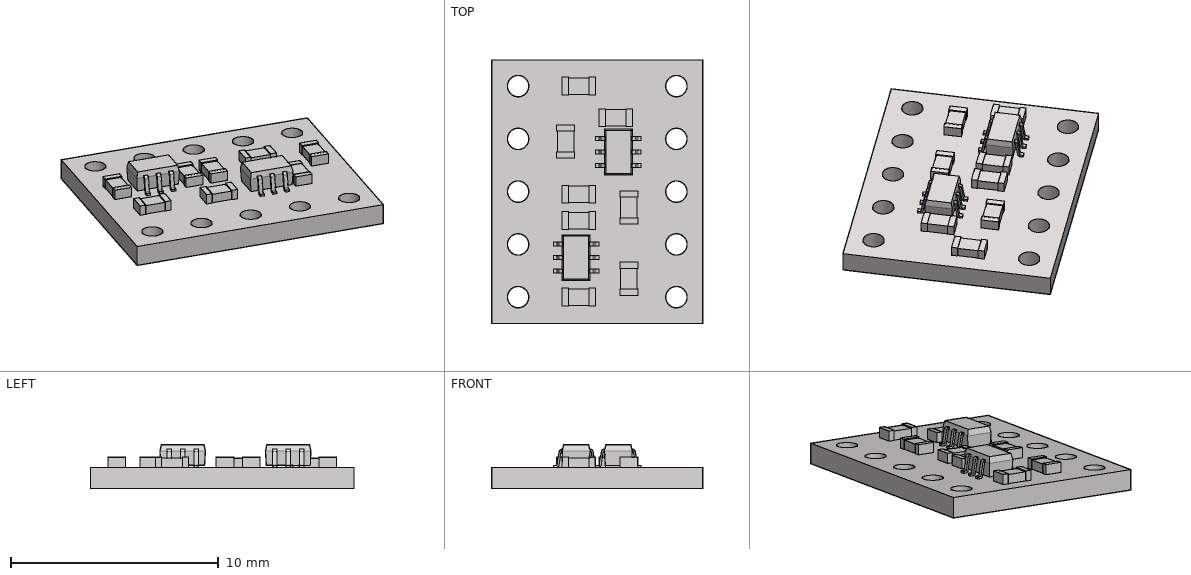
import cadquery as cq
import math

PITCH = 2.54
BOARD_X = 4 * PITCH
BOARD_Y = 5 * PITCH
BOARD_Z = 1.02
HOLE_DIAMETER = 1.016
HOLE_COLUMNS = 2
HOLE_ROWS = 5
HOLE_COLUMN_SPACING = 3 * PITCH

GRID = PITCH / 20

CHIP_LENGTH = 1.6
CHIP_WIDTH = 0.8
CAP_LENGTH = 0.3
CAP_HEIGHT = 0.5
RESISTOR_TOP_STEP = 0.05
RESISTOR_SIDE_STEP = 0.03
CAPACITOR_STEP = 0.015
RESISTORS_ALONG_X = [(-7, 40), (-7, -1), (-7, -11), (-7, -40)]
RESISTORS_ALONG_Y = [(-12, 19), (12, -6), (12, -33)]
CAPACITOR_POSITION = (7, 28)

PACKAGE_X = 1.35
PACKAGE_Y = 2.2
PACKAGE_TOP = 1.1
PACKAGE_STANDOFF = 0.1
PARTING_HEIGHT = 0.79
TOP_INSET = 0.07
BOTTOM_INSET = 0.04
PACKAGE_POSITIONS = [(8, 15), (-8, -25)]

LEADS_PER_SIDE = 3
LEAD_PITCH = 0.65
LEAD_WIDTH = 0.2
LEAD_THICKNESS = 0.1
LEAD_TOP = 0.88
LEAD_ROOT_X = PACKAGE_X / 4
SHOULDER_X = 0.8
ANKLE_X = 0.93
TOE_X = 1.1
OUTER_BEND = 0.13
INNER_BEND = OUTER_BEND - LEAD_THICKNESS


def block(length, width, height):
    """Block centred in X and Y, standing on Z = 0."""
    return cq.Workplane("XY").box(length, width, height, centered=(True, True, False))


def make_board():
    return (
        block(BOARD_X, BOARD_Y, BOARD_Z)
        .faces(">Z")
        .workplane()
        .rarray(HOLE_COLUMN_SPACING, PITCH, HOLE_COLUMNS, HOLE_ROWS)
        .hole(HOLE_DIAMETER)
    )


def make_chip(top_step, side_step):
    """Two-terminal chip lying along X, with end caps proud of its body."""
    chip = block(CHIP_LENGTH - 2 * CAP_LENGTH, CHIP_WIDTH, CAP_HEIGHT - top_step)
    cap = block(CAP_LENGTH, CHIP_WIDTH + 2 * side_step, CAP_HEIGHT)
    cap_center = (CHIP_LENGTH - CAP_LENGTH) / 2
    for side in (-1, 1):
        chip = chip.union(cap.translate((side * cap_center, 0, 0)))
    return chip


def tapered_half(end_height, inset):
    """Half of the moulded body, from the parting line to its inset end face."""
    return (
        cq.Workplane("XY")
        .workplane(offset=PARTING_HEIGHT)
        .rect(PACKAGE_X, PACKAGE_Y)
        .workplane(offset=end_height - PARTING_HEIGHT)
        .rect(PACKAGE_X - 2 * inset, PACKAGE_Y - 2 * inset)
        .loft(ruled=True)
    )


def make_lead():
    """Gull-wing lead on the +X side: shoulder, sloping leg and foot of equal thickness."""
    lead_underside = LEAD_TOP - LEAD_THICKNESS
    lean = (ANKLE_X - SHOULDER_X) / lead_underside
    leg_thickness_x = LEAD_THICKNESS * math.hypot(1, lean)
    heel_x = ANKLE_X + lean * LEAD_THICKNESS - leg_thickness_x
    armpit_x = SHOULDER_X + lean * LEAD_THICKNESS - leg_thickness_x
    lead = (
        cq.Workplane("XZ")
        .moveTo(LEAD_ROOT_X, LEAD_TOP)
        .lineTo(SHOULDER_X, LEAD_TOP)
        .lineTo(ANKLE_X, LEAD_THICKNESS)
        .lineTo(TOE_X, LEAD_THICKNESS)
        .lineTo(TOE_X, 0)
        .lineTo(heel_x, 0)
        .lineTo(armpit_x, lead_underside)
        .lineTo(LEAD_ROOT_X, lead_underside)
        .close()
        .extrude(LEAD_WIDTH / 2, both=True)
    )
    bends = [
        (SHOULDER_X, LEAD_TOP, OUTER_BEND),
        (heel_x, 0, OUTER_BEND),
        (armpit_x, lead_underside, INNER_BEND),
        (ANKLE_X, LEAD_THICKNESS, INNER_BEND),
    ]
    for x, z, radius in bends:
        lead = lead.edges(cq.NearestToPointSelector((x, 0, z))).fillet(radius)
    return lead


def make_package():
    package = tapered_half(PACKAGE_TOP, TOP_INSET).union(tapered_half(PACKAGE_STANDOFF, BOTTOM_INSET))
    lead = make_lead()
    first_lead_y = -LEAD_PITCH * (LEADS_PER_SIDE - 1) / 2
    for index in range(LEADS_PER_SIDE):
        right_lead = lead.translate((0, first_lead_y + index * LEAD_PITCH, 0))
        package = package.union(right_lead).union(right_lead.mirror("YZ"))
    return package


def place(component, grid_position):
    """Set a component on the top face of the board."""
    column, row = grid_position
    return component.translate((column * GRID, row * GRID, BOARD_Z))


resistor_along_x = make_chip(RESISTOR_TOP_STEP, RESISTOR_SIDE_STEP)
resistor_along_y = resistor_along_x.rotate((0, 0, 0), (0, 0, 1), 90)
package = make_package()
capacitor = make_chip(CAPACITOR_STEP, CAPACITOR_STEP)

result = make_board().union(place(capacitor, CAPACITOR_POSITION))
for position in RESISTORS_ALONG_X:
    result = result.union(place(resistor_along_x, position))
for position in RESISTORS_ALONG_Y:
    result = result.union(place(resistor_along_y, position))
for position in PACKAGE_POSITIONS:
    result = result.union(place(package, position))